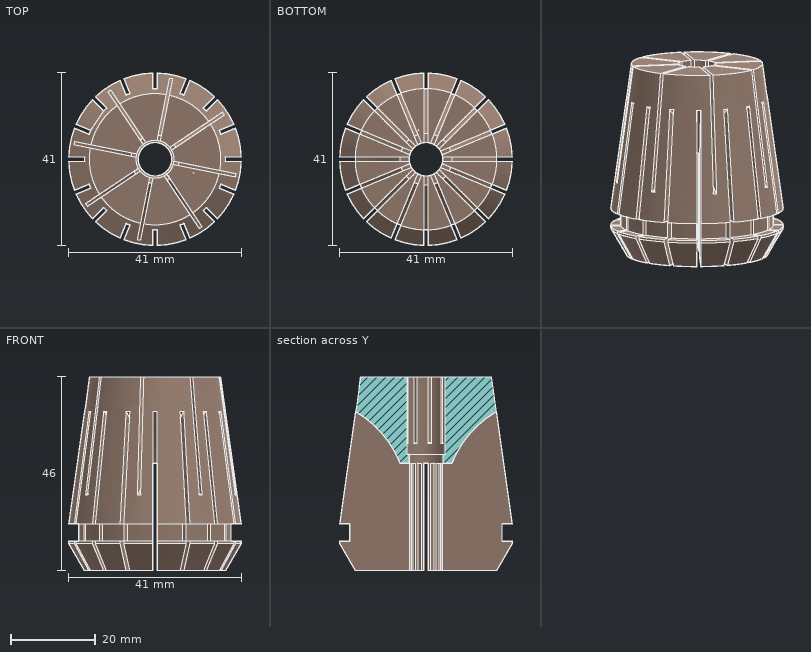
import cadquery as cq
import math

height = 46
max_radius = 20.5
nose_angle = 30
taper_angle = 8
rim_bottom_z = 6.4
rim_top_z = 7.0
groove_top_z = 11.1
groove_radius = 18.12

clamp_radius = 3.95
clamp_top_z = 27.6
relief_radius = 4.5

nose_cutter_radius = 25.0
back_cutter_radius = 18.0
nose_slot_count = 16
nose_slot_width = 0.95
nose_slot_outer_z = 37.75
nose_slot_inner_z = 25.5
nose_slot_arc_start = 6.15
back_slot_count = 8
back_slot_width = 0.8
back_slot_outer_z = 18.0
back_slot_inner_z = 30.4
back_slot_arc_start = 5.75
back_slot_floor_angle = 8
back_slot_floor_drop = back_slot_arc_start * math.tan(math.radians(back_slot_floor_angle))
slot_pitch = 360 / nose_slot_count
first_back_slot_angle = -slot_pitch / 2
clearance = 2.3


def taper_radius(z):
    """Radius of the long back taper at height z."""
    return max_radius - (z - groove_top_z) * math.tan(math.radians(taper_angle))


def revolve_profile(points):
    """Solid of revolution about Z from (radius, z) points."""
    return cq.Workplane("XZ").polyline(points).close().revolve(360, (0, 0), (0, 1))


def make_body():
    nose_radius = max_radius - rim_bottom_z * math.tan(math.radians(nose_angle))
    return revolve_profile([
        (0, 0),
        (nose_radius, 0),
        (max_radius, rim_bottom_z),
        (max_radius, rim_top_z),
        (groove_radius, rim_top_z),
        (groove_radius, groove_top_z),
        (max_radius, groove_top_z),
        (taper_radius(height), height),
        (0, height),
    ])


def make_bore():
    return revolve_profile([
        (0, 0),
        (clamp_radius, 0),
        (clamp_radius, clamp_top_z),
        (relief_radius, clamp_top_z),
        (relief_radius, height),
        (0, height),
    ])


def make_slot(width, open_z, axis_z, arc_start, arc_end, arc_radius):
    """Radial slot along +X, open at open_z.

    Its closed end runs straight from axis_z on the Z axis to arc_start, then along an arc to
    arc_end on the taper; the sign of arc_radius sets which way the arc bulges.
    """
    reach = max_radius + clearance
    return (
        cq.Workplane("XZ")
        .moveTo(0, open_z)
        .lineTo(0, axis_z)
        .lineTo(*arc_start)
        .radiusArc(arc_end, arc_radius)
        .lineTo(reach, arc_end[1])
        .lineTo(reach, open_z)
        .close()
        .extrude(width / 2, both=True)
    )


def cut_slots(body, slot, count, first_angle):
    for index in range(count):
        angle = first_angle + index * 360 / count
        body = body.cut(slot.rotate((0, 0, 0), (0, 0, 1), angle))
    return body


nose_slot = make_slot(
    nose_slot_width,
    -clearance,
    nose_slot_inner_z,
    (nose_slot_arc_start, nose_slot_inner_z),
    (taper_radius(nose_slot_outer_z), nose_slot_outer_z),
    nose_cutter_radius,
)

back_slot = make_slot(
    back_slot_width,
    height + clearance,
    back_slot_inner_z - back_slot_floor_drop,
    (back_slot_arc_start, back_slot_inner_z),
    (taper_radius(back_slot_outer_z), back_slot_outer_z),
    -back_cutter_radius,
)

result = make_body().cut(make_bore())
result = cut_slots(result, nose_slot, nose_slot_count, 0)
result = cut_slots(result, back_slot, back_slot_count, first_back_slot_angle)